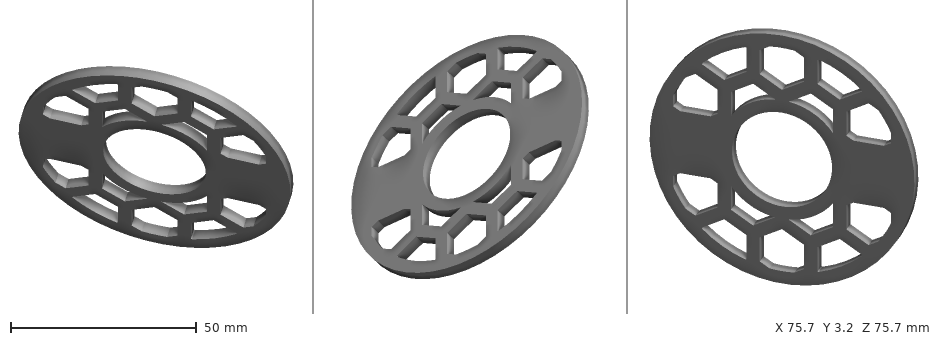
import cadquery as cq
import math

outer_diameter = 75.7
thickness = 3.2
bore_diameter = 28.6
wall_width = 3.8
hex_across_flats = 12.7
band_half_height = 9.45

outer_radius = outer_diameter / 2
bore_radius = bore_diameter / 2
window_outer_radius = outer_radius - wall_width
window_inner_radius = bore_radius + wall_width
hex_corner_diameter = hex_across_flats / math.cos(math.pi / 6)
hex_pitch = hex_across_flats + wall_width
row_pitch = hex_pitch * math.cos(math.pi / 6)

inner_row_steps = (-1.5, -0.5, 0.5, 1.5)
outer_row_steps = (-1, 0, 1)
honeycomb_rows = {
    2: outer_row_steps,
    1: inner_row_steps,
    -1: inner_row_steps,
    -2: outer_row_steps,
}


def base_plane():
    """Plane of the disc face: local x runs along Z, local y along X, extruding along +Y."""
    return cq.Workplane("ZX")


def disc(radius):
    """Full-thickness disc centred on the Y axis."""
    return base_plane().circle(radius).extrude(thickness)


def honeycomb():
    """Untrimmed hexagonal prisms, each with a corner pointing up."""
    centers = [
        (row * row_pitch, step * hex_pitch)
        for row, steps in honeycomb_rows.items()
        for step in steps
    ]
    return base_plane().pushPoints(centers).polygon(6, hex_corner_diameter).extrude(thickness)


def middle_band():
    """Strip across the disc that stays free of windows."""
    return base_plane().rect(2 * band_half_height, outer_diameter).extrude(thickness)


def windows():
    """Hexagons trimmed by the rim, the bore ring and the middle band."""
    return (
        honeycomb()
        .intersect(disc(window_outer_radius))
        .cut(disc(window_inner_radius))
        .cut(middle_band())
    )


result = disc(outer_radius).cut(disc(bore_radius)).cut(windows())